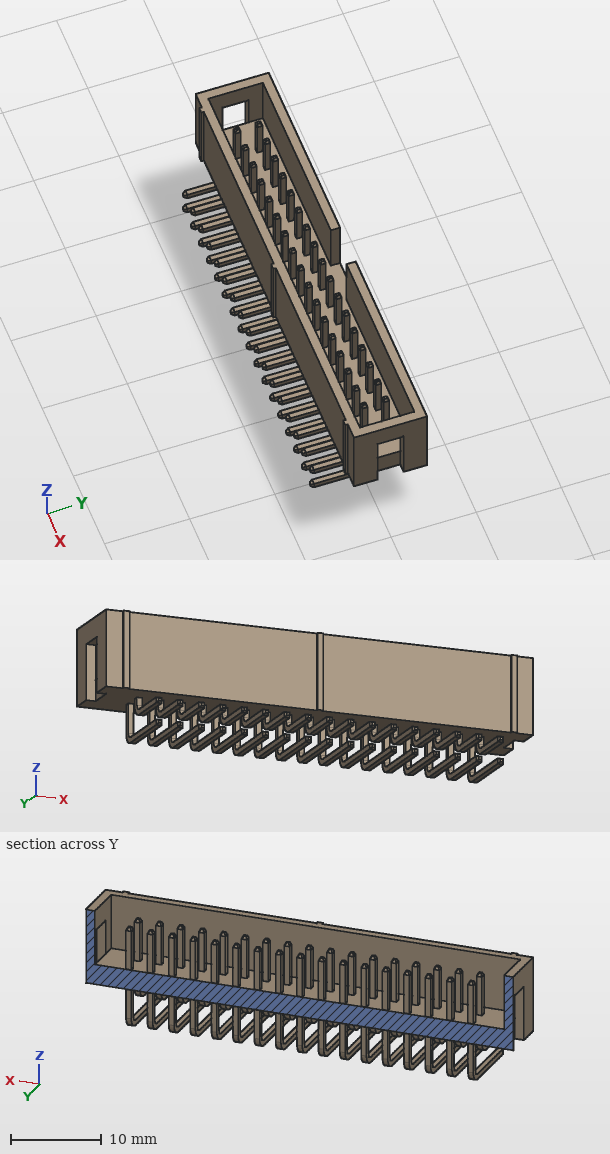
import cadquery as cq
import math


LENGTH = 50.8
DEPTH = 8.6
HEIGHT = 8.86
WALL = 1.1
FLOOR = 2.43
KEY_WIDTH = 5.0

WINDOW_WIDTH = 3.06
WINDOW_TOP = HEIGHT - FLOOR

RIB_WIDTH = 0.66
RIB_DEPTH = 0.3
RIB_END_INSET = 2.32

COLUMNS = 17
PITCH = 2.54
PIN = 0.64
PIN_TOP = 7.4
BEND_RADIUS = PIN
TIP_LENGTH = 0.35
TIP_TAPER = 25

OVERALL_DEPTH = 11.9
OVERALL_HEIGHT = 13.56

BACK_Y = DEPTH / 2
FRONT_Y = -DEPTH / 2
TAIL_TIP_Y = BACK_Y - OVERALL_DEPTH
LOWER_TAIL_Z = HEIGHT - OVERALL_HEIGHT + PIN / 2
UPPER_TAIL_Z = LOWER_TAIL_Z + PITCH


def make_shroud():
    """Open-topped box with a keying gap in its back wall and an opening in each end wall."""
    shroud = cq.Workplane("XY").box(LENGTH, DEPTH, HEIGHT, centered=(True, True, False))
    cavity_height = HEIGHT - FLOOR
    cavity = (
        cq.Workplane("XY")
        .workplane(offset=FLOOR)
        .rect(LENGTH - 2 * WALL, DEPTH - 2 * WALL)
        .extrude(cavity_height)
    )
    key_gap = (
        cq.Workplane("XY")
        .workplane(offset=FLOOR)
        .center(0, BACK_Y - WALL / 2)
        .rect(KEY_WIDTH, WALL)
        .extrude(cavity_height)
    )
    shroud = shroud.cut(cavity).cut(key_gap)
    for side in (-1, 1):
        window = (
            cq.Workplane("XY")
            .center(side * (LENGTH - WALL) / 2, 0)
            .rect(WALL, WINDOW_WIDTH)
            .extrude(WINDOW_TOP)
        )
        shroud = shroud.cut(window)
    return shroud


def make_ribs():
    """Three full-height ribs on the front face: one in the middle and one near each end.

    Half of each rib's depth is sunk into the wall so that it joins the shroud.
    """
    end_x = LENGTH / 2 - RIB_END_INSET
    return (
        cq.Workplane("XY")
        .pushPoints([(x, FRONT_Y) for x in (-end_x, 0, end_x)])
        .rect(RIB_WIDTH, 2 * RIB_DEPTH)
        .extrude(HEIGHT)
    )


def make_pin(row_y, tail_z):
    """Square pin at x = 0, upright at row_y, bent toward -Y at height tail_z, both tips tapered."""
    half = PIN / 2
    inner = BEND_RADIUS
    outer = BEND_RADIUS + PIN
    bend_y = row_y - half - inner
    bend_z = tail_z + half + inner
    shaft_top = PIN_TOP - TIP_LENGTH
    shaft_end = TAIL_TIP_Y + TIP_LENGTH
    diagonal = math.sqrt(0.5)
    profile = (
        cq.Workplane("YZ")
        .moveTo(row_y + half, shaft_top)
        .lineTo(row_y + half, bend_z)
        .threePointArc(
            (bend_y + outer * diagonal, bend_z - outer * diagonal),
            (bend_y, tail_z - half),
        )
        .lineTo(shaft_end, tail_z - half)
        .lineTo(shaft_end, tail_z + half)
        .lineTo(bend_y, tail_z + half)
        .threePointArc(
            (bend_y + inner * diagonal, bend_z - inner * diagonal),
            (row_y - half, bend_z),
        )
        .lineTo(row_y - half, shaft_top)
        .close()
    )
    pin = profile.extrude(half, both=True)
    for end_face in (">Z", "<Y"):
        end_plane = pin.faces(end_face).workplane(centerOption="CenterOfMass")
        pin = end_plane.rect(PIN, PIN).extrude(TIP_LENGTH, taper=TIP_TAPER)
    return pin


pin_pair = [
    make_pin(PITCH / 2, LOWER_TAIL_Z),
    make_pin(-PITCH / 2, UPPER_TAIL_Z),
]

result = make_shroud().union(make_ribs())
for column in range(COLUMNS):
    column_x = (column - (COLUMNS - 1) / 2) * PITCH
    for pin in pin_pair:
        result = result.union(pin.translate((column_x, 0, 0)))